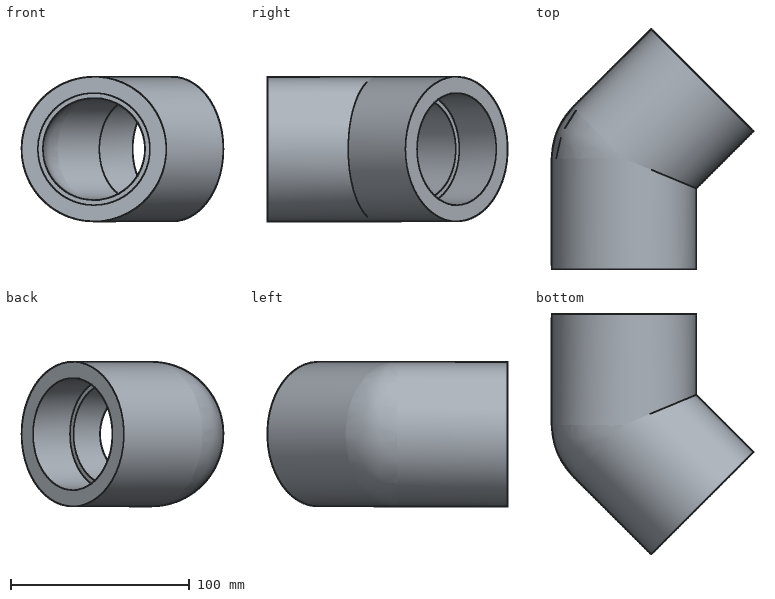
import cadquery as cq
import math

bend_angle = 45
outer_radius = 40.5
bore_radius = 28.5
socket_radius = 31.3
overall_length = 134.5
socket_depth = 29.2

bend = math.radians(bend_angle)
leg_length = (overall_length - outer_radius * math.sin(bend)) / (1 + math.cos(bend))
inlet_direction = (0, -1, 0)
outlet_direction = (math.sin(bend), math.cos(bend), 0)


def leg_cylinder(direction, radius, start, end):
    """Cylinder along a leg axis between two distances from the origin."""
    base = tuple(start * component for component in direction)
    return cq.Workplane(
        cq.Solid.makeCylinder(radius, end - start, cq.Vector(*base), cq.Vector(*direction))
    )


def bend_wedge(radius):
    """Spherical wedge that closes the outside of the bend between the legs."""
    half_disc = (
        cq.Workplane("XZ")
        .moveTo(0, -radius)
        .threePointArc((-radius, 0), (0, radius))
        .close()
    )
    return half_disc.revolve(bend_angle, (0, 0), (0, -1))


def elbow(radius):
    """Solid elbow: two round legs joined by a spherical wedge."""
    inlet = leg_cylinder(inlet_direction, radius, 0, leg_length)
    outlet = leg_cylinder(outlet_direction, radius, 0, leg_length)
    return inlet.union(outlet).union(bend_wedge(radius))


result = elbow(outer_radius).cut(elbow(bore_radius))

for leg_direction in (inlet_direction, outlet_direction):
    socket = leg_cylinder(leg_direction, socket_radius, leg_length - socket_depth, leg_length)
    result = result.cut(socket)

result = cq.Workplane(result.solids().val())